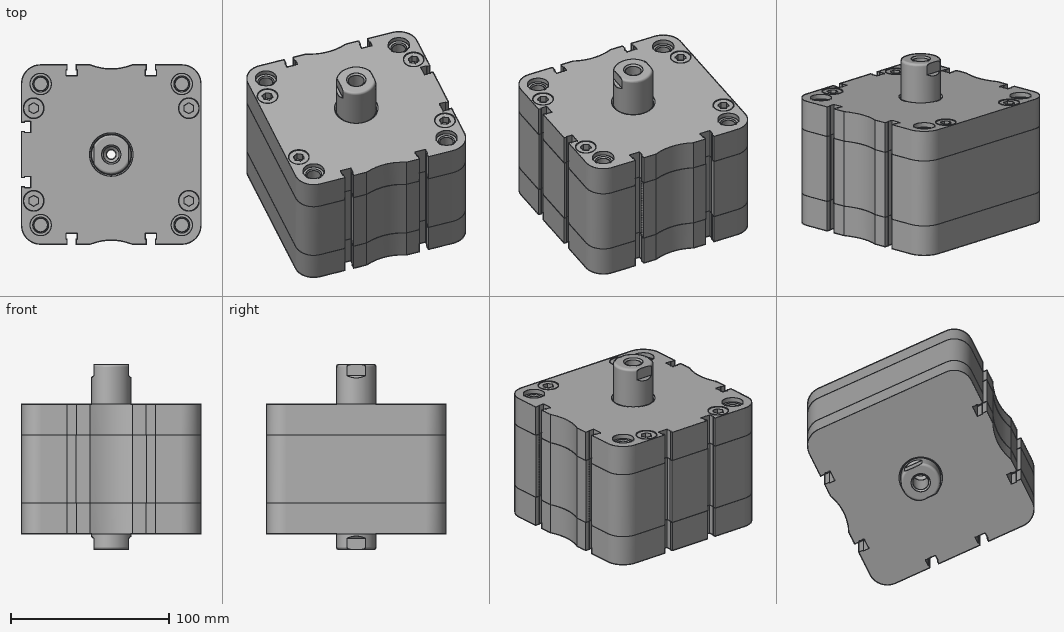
import cadquery as cq
import math

SIDE = 113.5
OVERALL_HEIGHT = 117.0
CAP_HEIGHT = 19.5
TUBE_HEIGHT = 42.9
BODY_HEIGHT = 2 * CAP_HEIGHT + TUBE_HEIGHT
CORNER_INSET = 12.2
HALF = SIDE / 2

SCALLOP_WIDTH = 26.7
TUBE_SCALLOP_DEPTH = 2.6
CAP_SCALLOP_DEPTH = 2.8

SLOT_WIDTH = 7.0
CAP_SLOT_NECK = 6.0
TUBE_SLOT_NECK = 5.6
Y_SLOT_OFFSET = 25.0
Y_SLOT_NECK_DEPTH = 3.3
Y_SLOT_DEPTH = 6.9
X_SLOT_OFFSET = 17.4
X_SLOT_NECK_DEPTH = 2.0
CAP_X_SLOT_DEPTH = 6.0
TUBE_X_SLOT_DEPTH = 5.6

CORE_DIAMETER = 100.0

BOLT_COUNTERBORE_DIAMETER = 13.5
BOLT_COUNTERBORE_DEPTH = 2.9
BOLT_CHAMFER_DIAMETER = 10.1
BOLT_HOLE_DIAMETER = 8.5
BOLT_HOLE_DEPTH = 17.5

SCREW_X = 49.0
SCREW_Y = 29.2
SCREW_HEAD_DIAMETER = 12.6
SCREW_RECESS_DIAMETER = 13.1
SCREW_HEAD_HEIGHT = 8.0
SCREW_HEAD_SINK = 0.4
SCREW_SEAT_Z = BODY_HEIGHT - SCREW_HEAD_SINK - SCREW_HEAD_HEIGHT
SCREW_HEX_FLATS = 6.0
SCREW_HEX_DEPTH = 4.7

ROD_DIAMETER = 25.0
ROD_LOWER_LENGTH = 10.0
ROD_EDGE_RADIUS = 1.6
ROD_FLATS = 22.0
ROD_FLAT_LENGTH = 7.0
ROD_BORE_DIAMETER = 6.0
ROD_THREAD_DIAMETER = 10.1
ROD_THREAD_DEPTH = 19.9
ROD_THREAD_CHAMFER = 1.0

GROOVE_MOUTH_DIAMETER = 27.5
GROOVE_DIAMETER = 25.6
GROOVE_DEPTH = 2.3


def slot_cutter(neck_width, neck_depth, depth, height):
    """T-slot whose mouth lies on the XZ plane and whose floor is towards +Y."""
    neck = cq.Workplane("XY").rect(neck_width, 2 * neck_depth).extrude(height)
    wide = (
        cq.Workplane("XY")
        .center(0, (neck_depth + depth) / 2)
        .rect(SLOT_WIDTH, depth - neck_depth)
        .extrude(height)
    )
    return neck.union(wide)


def profile_block(height, scallop_depth, neck_width, x_slot_depth):
    """Rounded square block from Z = 0 with its scallops and T-slots."""
    block = cq.Workplane("XY").rect(SIDE, SIDE).extrude(height).edges("|Z").fillet(CORNER_INSET)
    scallop = (
        cq.Workplane("XY")
        .moveTo(-SCALLOP_WIDTH / 2, -HALF)
        .threePointArc((0, scallop_depth - HALF), (SCALLOP_WIDTH / 2, -HALF))
        .close()
        .extrude(height)
    )
    y_slot = slot_cutter(neck_width, Y_SLOT_NECK_DEPTH, Y_SLOT_DEPTH, height)
    for turn in (0, 180):
        block = block.cut(scallop.rotate((0, 0, 0), (0, 0, 1), turn))
        for x in (-Y_SLOT_OFFSET, Y_SLOT_OFFSET):
            placed = y_slot.translate((x, -HALF, 0))
            block = block.cut(placed.rotate((0, 0, 0), (0, 0, 1), turn))
    x_slot = slot_cutter(neck_width, X_SLOT_NECK_DEPTH, x_slot_depth, height)
    x_slot = x_slot.rotate((0, 0, 0), (0, 0, 1), -90)
    for y in (-X_SLOT_OFFSET, X_SLOT_OFFSET):
        block = block.cut(x_slot.translate((-HALF, y, 0)))
    return block


def revolved(points):
    """Solid of revolution about Z from (radius, Z) points."""
    return cq.Workplane("XZ").polyline(points).close().revolve(360, (0, 0, 0), (0, 1, 0))


def make_tube():
    tube = profile_block(TUBE_HEIGHT, TUBE_SCALLOP_DEPTH, TUBE_SLOT_NECK, TUBE_X_SLOT_DEPTH)
    tube = tube.faces(">Z").workplane(origin=(0, 0, 0)).hole(CORE_DIAMETER)
    return tube.translate((0, 0, CAP_HEIGHT))


def bolt_hole_cutter():
    """Corner bolt hole below the top face: counterbore, chamfer and blind hole."""
    chamfer = (BOLT_CHAMFER_DIAMETER - BOLT_HOLE_DIAMETER) / 2
    floor = BODY_HEIGHT - BOLT_COUNTERBORE_DEPTH
    return revolved([
        (0, BODY_HEIGHT),
        (BOLT_COUNTERBORE_DIAMETER / 2, BODY_HEIGHT),
        (BOLT_COUNTERBORE_DIAMETER / 2, floor),
        (BOLT_CHAMFER_DIAMETER / 2, floor),
        (BOLT_HOLE_DIAMETER / 2, floor - chamfer),
        (BOLT_HOLE_DIAMETER / 2, BODY_HEIGHT - BOLT_HOLE_DEPTH),
        (0, BODY_HEIGHT - BOLT_HOLE_DEPTH),
    ])


def rod_bore_cutter():
    """Rod bore with a chamfered groove at the outer face of each cap."""
    rod = ROD_DIAMETER / 2
    groove = GROOVE_DIAMETER / 2
    mouth = GROOVE_MOUTH_DIAMETER / 2
    chamfer = mouth - groove
    return revolved([
        (0, 0),
        (mouth, 0),
        (groove, chamfer),
        (groove, GROOVE_DEPTH),
        (rod, GROOVE_DEPTH),
        (rod, BODY_HEIGHT - GROOVE_DEPTH),
        (groove, BODY_HEIGHT - GROOVE_DEPTH),
        (groove, BODY_HEIGHT - chamfer),
        (mouth, BODY_HEIGHT),
        (0, BODY_HEIGHT),
    ])


def screw_places():
    return [(x, y) for x in (-SCREW_X, SCREW_X) for y in (-SCREW_Y, SCREW_Y)]


def make_capped_core():
    cap = profile_block(CAP_HEIGHT, CAP_SCALLOP_DEPTH, CAP_SLOT_NECK, CAP_X_SLOT_DEPTH)
    core = cq.Workplane("XY").circle(CORE_DIAMETER / 2).extrude(BODY_HEIGHT)
    body = cap.union(core).union(cap.translate((0, 0, CAP_HEIGHT + TUBE_HEIGHT)))
    body = body.cut(rod_bore_cutter())
    bolt_hole = bolt_hole_cutter()
    bolt_place = HALF - CORNER_INSET
    for x in (-bolt_place, bolt_place):
        for y in (-bolt_place, bolt_place):
            body = body.cut(bolt_hole.translate((x, y, 0)))
    recesses = (
        cq.Workplane("XY", origin=(0, 0, SCREW_SEAT_Z))
        .pushPoints(screw_places())
        .circle(SCREW_RECESS_DIAMETER / 2)
        .extrude(SCREW_HEAD_HEIGHT + SCREW_HEAD_SINK)
    )
    return body.cut(recesses)


def make_screw(x, y):
    """Socket head, sunk slightly below the top face."""
    head = (
        cq.Workplane("XY", origin=(x, y, SCREW_SEAT_Z))
        .circle(SCREW_HEAD_DIAMETER / 2)
        .extrude(SCREW_HEAD_HEIGHT)
    )
    hex_across_corners = SCREW_HEX_FLATS / math.cos(math.pi / 6)
    socket = (
        cq.Workplane("XY")
        .polygon(6, hex_across_corners)
        .extrude(SCREW_HEX_DEPTH)
        .rotate((0, 0, 0), (0, 0, 1), 30)
        .translate((x, y, SCREW_SEAT_Z + SCREW_HEAD_HEIGHT - SCREW_HEX_DEPTH))
    )
    return head.cut(socket)


def rod_flat_cutter():
    """Wrench flat on the +X side of the upper rod end, leaving at 45 degrees to the rod."""
    flat = ROD_FLATS / 2
    outside = ROD_DIAMETER
    shoulder = -ROD_FLAT_LENGTH
    profile = [
        (flat, 0),
        (flat, shoulder),
        (outside, shoulder - (outside - flat)),
        (outside, 0),
    ]
    return cq.Workplane("XZ").polyline(profile).close().extrude(ROD_DIAMETER, both=True)


def rod_thread_cutter():
    """Chamfered threaded hole in the upper rod end, with a conical floor."""
    thread = ROD_THREAD_DIAMETER / 2
    return revolved([
        (0, 0),
        (thread + ROD_THREAD_CHAMFER, 0),
        (thread, -ROD_THREAD_CHAMFER),
        (thread, -ROD_THREAD_DEPTH),
        (0, -ROD_THREAD_DEPTH - thread),
    ])


def make_rod():
    """Through rod, built with its upper end at Z = 0 and both ends alike."""
    rod = (
        cq.Workplane("XY")
        .circle(ROD_DIAMETER / 2)
        .extrude(-OVERALL_HEIGHT)
        .edges("%CIRCLE")
        .fillet(ROD_EDGE_RADIUS)
    )
    rod = rod.faces(">Z").workplane().hole(ROD_BORE_DIAMETER)
    flat = rod_flat_cutter()
    end_cut = rod_thread_cutter().union(flat).union(flat.mirror("YZ"))
    middle = (0, 0, -OVERALL_HEIGHT / 2)
    rod = rod.cut(end_cut).cut(end_cut.mirror("XY", middle))
    return rod.translate((0, 0, OVERALL_HEIGHT - ROD_LOWER_LENGTH))


capped_core = make_capped_core()
tube = make_tube()
rod = make_rod()
screws = [make_screw(x, y) for x, y in screw_places()]

result = cq.Compound.makeCompound(
    [capped_core.val(), tube.val(), rod.val(), *[screw.val() for screw in screws]]
)